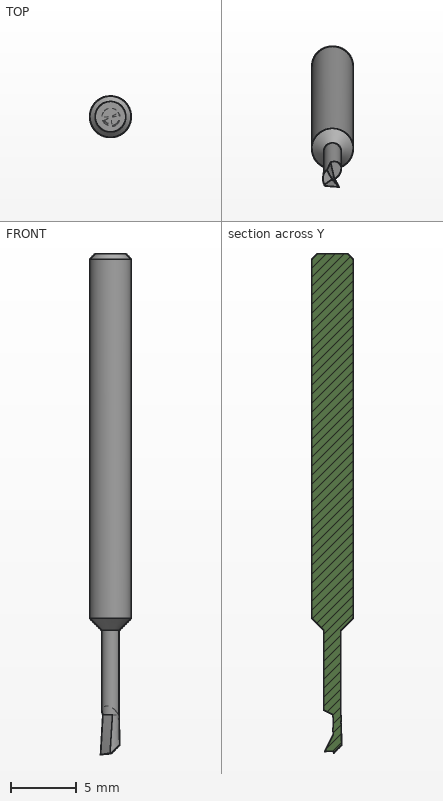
import cadquery as cq
import math

total_length = 38.1
shank_diameter = 3.15
neck_diameter = 1.35
neck_bottom = 3.05
neck_top = 9.45
end_chamfer = 0.42
tip_radius = 0.75
rake_angle_top = 28.0
rake_angle_bottom = 0.0
relief_end_top = -77.0
relief_end_bottom = -93.0
tip_chamfer = 0.8
end_clearance = 5.0

tip_diameter = 2 * tip_radius
shank_radius = shank_diameter / 2
neck_radius = neck_diameter / 2
shank_bottom = neck_top + shank_radius - neck_radius


def polar_point(radius, angle):
    """Point at a polar angle in degrees."""
    return (
        radius * math.cos(math.radians(angle)),
        radius * math.sin(math.radians(angle)),
    )


def make_tip_section(height, radius, rake_angle, relief_end):
    """Half-round wire with a diametral rake edge and a relief flat."""
    cutting_corner = polar_point(radius, rake_angle + 180)
    back_corner = polar_point(radius, rake_angle)
    back_middle = polar_point(radius, (rake_angle + relief_end) / 2)
    relief_corner = polar_point(radius, relief_end)
    return (
        cq.Workplane("XY", origin=(0, 0, height))
        .moveTo(*cutting_corner)
        .lineTo(*back_corner)
        .threePointArc(back_middle, relief_corner)
        .close()
        .val()
    )


def make_bar():
    """Round shank and neck, with a conical shoulder between them."""
    profile = [
        (0, neck_bottom),
        (neck_radius, neck_bottom),
        (neck_radius, neck_top),
        (shank_radius, shank_bottom),
        (shank_radius, total_length - end_chamfer),
        (shank_radius - end_chamfer, total_length),
        (0, total_length),
    ]
    return cq.Workplane("XZ").polyline(profile).close().revolve(360, (0, 0), (0, 1))


def make_runout():
    """Wedge that ends the rake grind in the neck with a 45 degree slope."""
    return (
        cq.Workplane("YZ")
        .polyline([
            (0, neck_bottom),
            (neck_diameter, neck_bottom),
            (neck_diameter, neck_bottom + neck_diameter),
        ])
        .close()
        .extrude(neck_diameter, both=True)
        .rotate((0, 0, 0), (0, 0, 1), rake_angle_top)
    )


def make_tip():
    """Half-round cutting tip that twists and widens downward, with a bevel and a relieved end face."""
    lower_section = make_tip_section(0, tip_radius, rake_angle_bottom, relief_end_bottom)
    upper_section = make_tip_section(neck_bottom, neck_radius, rake_angle_top, relief_end_top)
    tip = cq.Workplane(cq.Solid.makeLoft([lower_section, upper_section], True))
    bevel = (
        cq.Workplane("XZ")
        .polyline([(tip_radius - tip_chamfer, 0), (tip_radius, 0), (tip_radius, tip_chamfer)])
        .close()
        .extrude(tip_diameter, both=True)
    )
    cutting_corner = (-tip_radius, 0, 0)
    clearance = (
        cq.Workplane("XY")
        .box(4 * tip_diameter, 4 * tip_diameter, tip_diameter, centered=(True, True, False))
        .translate((-tip_radius, 0, -tip_diameter))
        .rotate(cutting_corner, (-tip_radius + 0.4, 0, 0), -end_clearance)
        .rotate(cutting_corner, (-tip_radius, 1, 0), -end_clearance)
    )
    return tip.cut(bevel).cut(clearance)


result = make_bar().cut(make_runout()).union(make_tip())